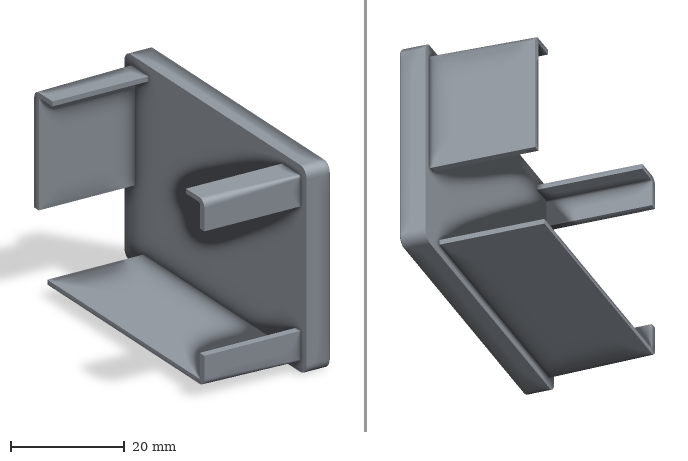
import cadquery as cq
import math

plate_width = 60.0
plate_height = 40.0
plate_thickness = 5.0
plate_corner_radius = 2.0
outer_edge_chamfer = 0.2
total_depth = 25.0

clip_depth = total_depth - plate_thickness
clip_inset = 2.0
side_wall_thickness = 1.5
shelf_thickness = 0.95
clip_root_radius = 0.5
clip_tip_radius = 1.5
clip_inner_radius = 0.3

short_leg = 6.0
tall_wall_height = 22.8
long_shelf_length = 51.7

clips = [
    (-1, 1, short_leg, tall_wall_height),
    (1, 1, short_leg, short_leg),
    (1, -1, long_shelf_length, short_leg),
]


def make_plate():
    """Rounded plate with a fine chamfer around its outer face."""
    plate = cq.Workplane("XY").box(
        plate_width, plate_thickness, plate_height, centered=(True, False, True)
    )
    plate = plate.edges("|Y").fillet(plate_corner_radius)
    return plate.faces(">Y").edges().chamfer(outer_edge_chamfer)


def clip_section(x_side, z_side, shelf_length, wall_height, outer_radius, y):
    """Closed L outline at the given Y, drawn inward from the clip's outer corner."""
    corner_x = plate_width / 2 - clip_inset
    corner_z = plate_height / 2 - clip_inset

    def point(inward_x, inward_z):
        return cq.Vector(x_side * (corner_x - inward_x), y, z_side * (corner_z - inward_z))

    inner_centre_x = side_wall_thickness + clip_inner_radius
    inner_centre_z = shelf_thickness + clip_inner_radius

    def arc_middle(centre_x, centre_z, radius):
        offset = radius * math.sqrt(0.5)
        return point(centre_x - offset, centre_z - offset)

    shelf_points = [
        point(outer_radius, 0),
        point(shelf_length, 0),
        point(shelf_length, shelf_thickness),
        point(inner_centre_x, shelf_thickness),
    ]
    inner_middle = arc_middle(inner_centre_x, inner_centre_z, clip_inner_radius)
    wall_points = [
        point(side_wall_thickness, inner_centre_z),
        point(side_wall_thickness, wall_height),
        point(0, wall_height),
        point(0, outer_radius),
    ]
    outer_middle = arc_middle(outer_radius, outer_radius, outer_radius)

    edges = [cq.Edge.makeLine(a, b) for a, b in zip(shelf_points, shelf_points[1:])]
    edges.append(cq.Edge.makeThreePointArc(shelf_points[-1], inner_middle, wall_points[0]))
    edges += [cq.Edge.makeLine(a, b) for a, b in zip(wall_points, wall_points[1:])]
    edges.append(cq.Edge.makeThreePointArc(wall_points[-1], outer_middle, shelf_points[0]))
    return cq.Wire.assembleEdges(edges)


def make_clip(x_side, z_side, shelf_length, wall_height):
    """Clip whose outer corner radius grows steadily from root to tip."""
    shape = (x_side, z_side, shelf_length, wall_height)
    root = clip_section(*shape, clip_root_radius, 0)
    tip = clip_section(*shape, clip_tip_radius, -clip_depth)
    return cq.Solid.makeLoft([root, tip], True)


result = make_plate()
for clip in clips:
    result = result.union(cq.Workplane(make_clip(*clip)))